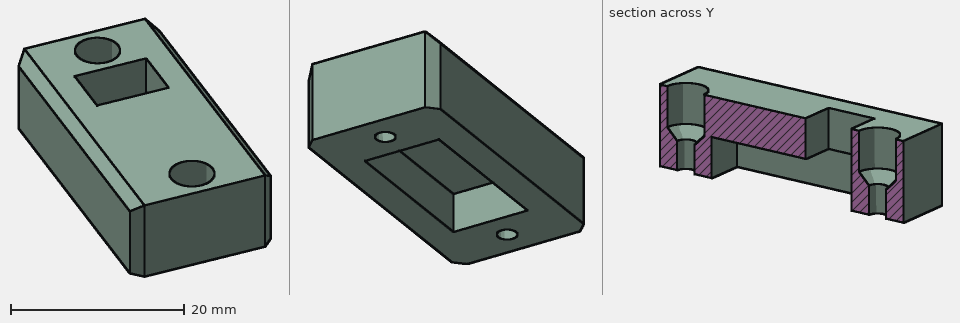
import cadquery as cq

length = 34.62
width = 17.75
height = 10.0
chamfer = 1.28

hole_spacing = 27.2
bore_diameter = 5.2
shank_diameter = 2.4
bore_depth = height / 2

window_length = 6.47
window_width = 9.0
window_left = -9.9

roof_thickness = height / 2
cavity_side_overhang = 0.5
cavity_length = -2 * window_left
cavity_width = window_width + 2 * cavity_side_overhang


def make_block():
    """Block with bevelled vertical corners and bevelled long top edges."""
    block = cq.Workplane("XY").box(length, width, height, centered=(True, True, False))
    block = block.edges("|Z").chamfer(chamfer)

    side = width / 2
    shoulder = side - chamfer
    bevel_bottom = height - chamfer
    bevelled_bar = (
        cq.Workplane("YZ")
        .moveTo(-side, 0)
        .lineTo(side, 0)
        .lineTo(side, bevel_bottom)
        .lineTo(shoulder, height)
        .lineTo(-shoulder, height)
        .lineTo(-side, bevel_bottom)
        .close()
        .extrude(length / 2, both=True)
    )
    return block.intersect(bevelled_bar)


def make_screw_hole(x):
    """Straight bore for the head, a 90 degree cone seat, then the shank hole."""
    bore_radius = bore_diameter / 2
    shank_radius = shank_diameter / 2
    cone_top = height - bore_depth
    cone_bottom = cone_top - (bore_radius - shank_radius)
    half_profile = (
        cq.Workplane("XZ")
        .moveTo(0, 0)
        .lineTo(shank_radius, 0)
        .lineTo(shank_radius, cone_bottom)
        .lineTo(bore_radius, cone_top)
        .lineTo(bore_radius, height)
        .lineTo(0, height)
        .close()
    )
    return half_profile.revolve(360, (0, 0, 0), (0, 1, 0)).translate((x, 0, 0))


def make_window():
    """Vertical rectangular opening through the full height."""
    window_center = window_left + window_length / 2
    return (
        cq.Workplane("XY")
        .center(window_center, 0)
        .rect(window_length, window_width)
        .extrude(height)
    )


def make_cavity():
    """Rectangular hollow between the screw holes, below the roof."""
    return cq.Workplane("XY").rect(cavity_length, cavity_width).extrude(height - roof_thickness)


result = make_block().cut(make_window()).cut(make_cavity())
for hole_x in (-hole_spacing / 2, hole_spacing / 2):
    result = result.cut(make_screw_hole(hole_x))